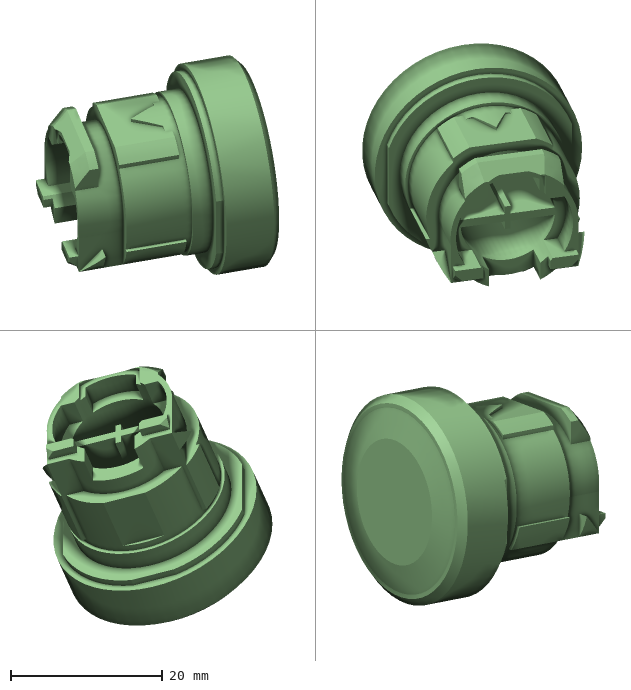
import cadquery as cq

cap_radius = 14.18
cap_side_height = 6.55
cap_chamfer_height = 0.94
cap_rim_radius = 13.13
dome_rim_radius = 25.1 / 2
dome_top_radius = 8.5
dome_height = 0.82

flange_radius = 13.27
flange_front = 1.0
flange_half_width = 12.5
flange_bottom_drop = 12.93

collar_radius = 22.0 / 2
collar_front = 3.7

barrel_radius = 21.0 / 2
barrel_front = 12.7
barrel_bottom_flat_start = 4.7
barrel_bottom_flat_drop = 10.1

pad_radius = collar_radius
pad_start = 4.48
pad_half_width = 6.78
top_flat_height = 10.0
side_pad_top_drop = 3.18
lower_edge_drop = 6.72

arrow_base = 5.47
arrow_tip = 9.27
arrow_half_width = 2.25

neck_radius = 8.75
neck_half_width = 8.7
neck_front = 18.75
pocket_floor = 15.17

hook_start = 15.54
hook_chamfer = 1.98

bore_radius = 6.45
bore_floor = 0.0
pocket_radius = 8.0
pocket_half_height = 4.22
slot_half_width = 3.52
slot_mouth_half_width = 4.22
slot_mouth_height = 8.53
slot_mouth_depth = 0.5
slot_mouth_floor = neck_front - slot_mouth_depth

bar_half_thickness = 0.57
rib_half_thickness = 0.4
rib_half_height = 1.73

prong_front = 20.0
prong_inner = 4.56
prong_outer = 8.45
prong_height = 1.67
prong_corner = 1.0


def disc(radius, start, end):
    """Cylinder on the Y axis between two stations."""
    return cq.Workplane("XZ", origin=(0, -start, 0)).circle(radius).extrude(end - start)


def block(x_min, x_max, z_min, z_max, start, end):
    """Box between two stations."""
    size = (x_max - x_min, end - start, z_max - z_min)
    return cq.Workplane("XY").box(*size, centered=False).translate((x_min, -end, z_min))


def both_sides(body):
    """The body together with its mirror image across the YZ plane."""
    return body.union(body.mirror("YZ"))


def make_cap():
    rim = cap_side_height + cap_chamfer_height
    return (
        cq.Workplane("XY")
        .moveTo(0, 0)
        .lineTo(cap_radius, 0)
        .lineTo(cap_radius, cap_side_height)
        .lineTo(cap_rim_radius, rim)
        .lineTo(dome_rim_radius, rim)
        .lineTo(dome_top_radius, rim + dome_height)
        .lineTo(0, rim + dome_height)
        .close()
        .revolve(360, (0, 0, 0), (0, 1, 0))
    )


def make_flange():
    trim = block(
        -flange_half_width, flange_half_width, -flange_bottom_drop, flange_radius, 0, flange_front
    )
    return disc(flange_radius, 0, flange_front).intersect(trim)


def make_barrel():
    barrel = disc(barrel_radius, 0, barrel_front)
    arrow = (
        cq.Workplane("XY")
        .polyline([(-arrow_half_width, -arrow_base), (arrow_half_width, -arrow_base), (0, -arrow_tip)])
        .close()
        .extrude(cap_radius)
    )
    top_waste = block(
        -cap_radius, cap_radius, top_flat_height, cap_radius, arrow_base, barrel_front
    ).cut(arrow)
    bottom_waste = block(
        -cap_radius, cap_radius, -cap_radius, -barrel_bottom_flat_drop,
        barrel_bottom_flat_start, barrel_front,
    )
    return barrel.cut(top_waste).cut(bottom_waste)


def make_pads():
    ring = disc(pad_radius, pad_start, barrel_front).cut(disc(barrel_radius, pad_start, barrel_front))
    top_zone = block(-pad_half_width, pad_half_width, 0, top_flat_height, pad_start, barrel_front)
    side_zone = block(
        0, pad_radius, -lower_edge_drop, -side_pad_top_drop, pad_start, barrel_front
    )
    return ring.intersect(top_zone.union(both_sides(side_zone)))


def make_neck():
    skirt = block(
        -neck_half_width, neck_half_width, -lower_edge_drop, 0, barrel_front, neck_front
    )
    return disc(neck_radius, barrel_front, neck_front).union(skirt)


def make_top_hook():
    trim = block(-pad_half_width, pad_half_width, 0, top_flat_height, hook_start, neck_front)
    edge_cone = disc(pad_radius, hook_start, neck_front).faces("<Y").chamfer(hook_chamfer)
    return edge_cone.intersect(trim)


def make_top_slope():
    """Waste above the 45 degree slope that runs over the top hook and the neck crown."""
    return (
        cq.Workplane("YZ")
        .polyline([
            (hook_chamfer - neck_front, top_flat_height),
            (-neck_front, top_flat_height),
            (-neck_front, top_flat_height - hook_chamfer),
        ])
        .close()
        .extrude(cap_radius, both=True)
    )


def make_side_hooks():
    slope_rise = neck_front - hook_start
    wedge = (
        cq.Workplane("YZ")
        .polyline([
            (-hook_start, -lower_edge_drop),
            (-hook_start, slope_rise - lower_edge_drop),
            (-neck_front, -lower_edge_drop),
        ])
        .close()
        .extrude(cap_radius, both=True)
    )
    return wedge.intersect(disc(pad_radius, hook_start, neck_front))


def make_prongs():
    top = -pocket_half_height
    bottom = top - prong_height
    prong = block(prong_inner, prong_outer, bottom, top, pocket_floor, prong_front)
    corner = cq.Vector(prong_outer, -prong_front, bottom)
    along_x = corner - cq.Vector(prong_corner, 0, 0)
    along_y = corner + cq.Vector(0, prong_corner, 0)
    along_z = corner + cq.Vector(0, 0, prong_corner)
    triangles = [
        (along_x, along_y, along_z),
        (corner, along_x, along_y),
        (corner, along_y, along_z),
        (corner, along_z, along_x),
    ]
    faces = [
        cq.Face.makeFromWires(cq.Wire.makePolygon(list(points), close=True)) for points in triangles
    ]
    tip_waste = cq.Solid.makeSolid(cq.Shell.makeShell(faces))
    return both_sides(prong.cut(cq.Workplane(obj=tip_waste)))


def make_hollow():
    bore = disc(bore_radius, bore_floor, prong_front)
    pocket_zone = block(
        -cap_radius, cap_radius, -pocket_half_height, pocket_half_height, pocket_floor, prong_front
    )
    side_pockets = disc(pocket_radius, pocket_floor, neck_front).intersect(pocket_zone)
    slot_zone = block(-slot_half_width, slot_half_width, 0, cap_radius, pocket_floor, neck_front)
    slot = disc(pocket_radius, pocket_floor, neck_front).intersect(slot_zone)
    mouth_zone = block(
        -slot_mouth_half_width, slot_mouth_half_width, 0, slot_mouth_height,
        slot_mouth_floor, neck_front,
    )
    mouth = disc(neck_radius, slot_mouth_floor, neck_front).intersect(mouth_zone)
    bottom_gap = block(-slot_half_width, slot_half_width, -cap_radius, 0, pocket_floor, neck_front)
    return bore.union(side_pockets).union(slot).union(mouth).union(bottom_gap)


def make_divider():
    bar = block(
        -bore_radius, bore_radius, -bar_half_thickness, bar_half_thickness, bore_floor, pocket_floor
    )
    rib = block(
        -rib_half_thickness, rib_half_thickness, -rib_half_height, rib_half_height,
        bore_floor, pocket_floor,
    )
    return bar.union(rib)


outside = (
    make_cap()
    .union(make_flange())
    .union(disc(collar_radius, 0, collar_front))
    .union(make_barrel())
    .union(make_pads())
    .union(make_neck())
    .union(make_top_hook())
    .union(make_side_hooks())
    .union(make_prongs())
)
result = outside.cut(make_top_slope()).cut(make_hollow()).union(make_divider())